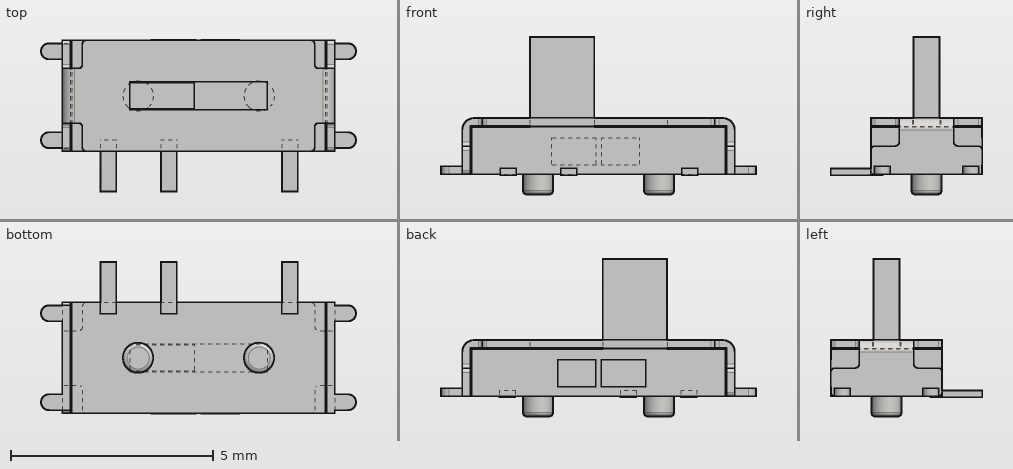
import cadquery as cq


SIDES = (-1, 1)

overall_length = 7.8
cover_length = 6.75
cover_width = 2.75
cover_height = 1.4
sheet = 0.2
bend_radius = 0.3
notch_length = 0.5
notch_width = 0.7
shoulder_height = 0.7
corner_radius = 0.1
plate_end = cover_length / 2 - notch_length
neck_half_width = cover_width / 2 - notch_width
slot_length = 3.4
slot_width = 0.7

foot_width = 0.4
foot_offset = 1.1

end_clearance = 0.03
top_clearance = 0.0195
housing_length = cover_length - 2 * (sheet + end_clearance)
housing_height = cover_height - sheet - top_clearance

knob_length = 1.6
knob_width = 0.65
knob_rise = 2.005

peg_diameter = 0.75
peg_length = 0.5
peg_rounding = 0.1
peg_offset = 1.5

terminal_width = 0.4
terminal_reach = 1.0
terminal_inset = 0.29
terminal_bottom = -0.02
terminal_top = 0.15
terminal_pitch = 1.5
terminal_start = -2.23
terminal_steps = [0, 1, 3]

pad_spans = [(-1.17, -0.07), (0.07, 1.01)]
pad_bottom = 0.235
pad_top = 0.91
pad_thickness = 0.01


def span_box(x_range, y_range, z_range):
    """Box between the given low and high limits along each axis."""
    sizes = [high - low for low, high in (x_range, y_range, z_range)]
    return cq.Workplane("XY").box(*sizes, centered=False).translate((x_range[0], y_range[0], z_range[0]))


def cover_shell():
    """Bent channel open at the bottom and at both long sides."""
    outer = cq.Workplane("XY").box(cover_length, cover_width, cover_height, centered=(True, True, False))
    outer = outer.edges(">Z and |Y").fillet(bend_radius)
    inside = cq.Workplane("XY").box(
        cover_length - 2 * sheet, cover_width, cover_height - sheet, centered=(True, True, False)
    )
    return outer.cut(inside)


def fillet_near(shell, direction, point):
    """Round the edge that runs in the given direction through the given point."""
    x, y, z = point
    reach = corner_radius / 2
    near = cq.selectors.BoxSelector((x - reach, y - reach, z - reach), (x + reach, y + reach, z + reach))
    return shell.edges(direction).edges(near).fillet(corner_radius)


def cut_corners(shell):
    """Trim the four bent corners to leave a narrow neck at each end."""
    for x_side in SIDES:
        for y_side in SIDES:
            x_range = sorted([x_side * cover_length / 2, x_side * plate_end])
            y_range = sorted([y_side * cover_width / 2, y_side * neck_half_width])
            shell = shell.cut(span_box(x_range, y_range, (shoulder_height, cover_height)))
    return shell


def round_corners(shell):
    """Round the notch corners, and the lower corners of the -X end wall."""
    plate_middle = cover_height - sheet / 2
    wall_middle = cover_length / 2 - sheet / 2
    for y_side in SIDES:
        for x_side in SIDES:
            for y in (y_side * neck_half_width, y_side * cover_width / 2):
                shell = fillet_near(shell, "|Z", (x_side * plate_end, y, plate_middle))
                shell = fillet_near(shell, "|X", (x_side * wall_middle, y, shoulder_height))
        shell = fillet_near(shell, "|X", (-wall_middle, y_side * cover_width / 2, 0))
    return shell


def mounting_foot(x_side, y_side):
    """Flat foot with a rounded tip, pointing outward from an end wall."""
    wall_x = cover_length / 2 - sheet
    tip_center = overall_length / 2 - foot_width / 2
    y = y_side * foot_offset
    x_range = sorted([x_side * wall_x, x_side * tip_center])
    tab = span_box(x_range, (y - foot_width / 2, y + foot_width / 2), (0, sheet))
    tip = cq.Workplane("XY").center(x_side * tip_center, y).circle(foot_width / 2).extrude(sheet)
    return tab.union(tip)


def make_cover():
    """Bent metal cover with a slot for the knob and four mounting feet."""
    cover = round_corners(cut_corners(cover_shell()))
    slot = cq.Workplane("XY").rect(slot_length, slot_width).extrude(cover_height)
    cover = cover.cut(slot)
    for x_side in SIDES:
        for y_side in SIDES:
            cover = cover.union(mounting_foot(x_side, y_side))
    return cover


def knob():
    """Upright knob rising from the housing through the slot."""
    left = -slot_length / 2
    return span_box(
        (left, left + knob_length),
        (-knob_width / 2, knob_width / 2),
        (housing_height, cover_height + knob_rise),
    )


def peg(x):
    """Round locating peg below the housing, with a rounded lower rim."""
    pin = cq.Workplane("XY").center(x, 0).circle(peg_diameter / 2).extrude(-peg_length)
    return pin.faces("<Z").edges().fillet(peg_rounding)


def terminal(x):
    """Flat terminal reaching out of the front face, let into the underside of the housing."""
    front = -cover_width / 2
    return span_box(
        (x - terminal_width / 2, x + terminal_width / 2),
        (front - terminal_reach, front + terminal_inset),
        (terminal_bottom, terminal_top),
    )


def rear_pad(x_range):
    """Thin raised pad on the rear face of the housing."""
    rear = cover_width / 2
    return span_box(x_range, (rear, rear + pad_thickness), (pad_bottom, pad_top))


def make_base():
    """Housing block in one piece with its knob, pegs, terminals and rear pads."""
    base = cq.Workplane("XY").box(
        housing_length, cover_width, housing_height, centered=(True, True, False)
    )
    base = base.union(knob())
    for x_range in pad_spans:
        base = base.union(rear_pad(x_range))
    for x_side in SIDES:
        base = base.union(peg(x_side * peg_offset))
    for step in terminal_steps:
        base = base.union(terminal(terminal_start + step * terminal_pitch))
    return base


cover = make_cover()
base = make_base()
result = cq.Compound.makeCompound([cover.val(), base.val()])